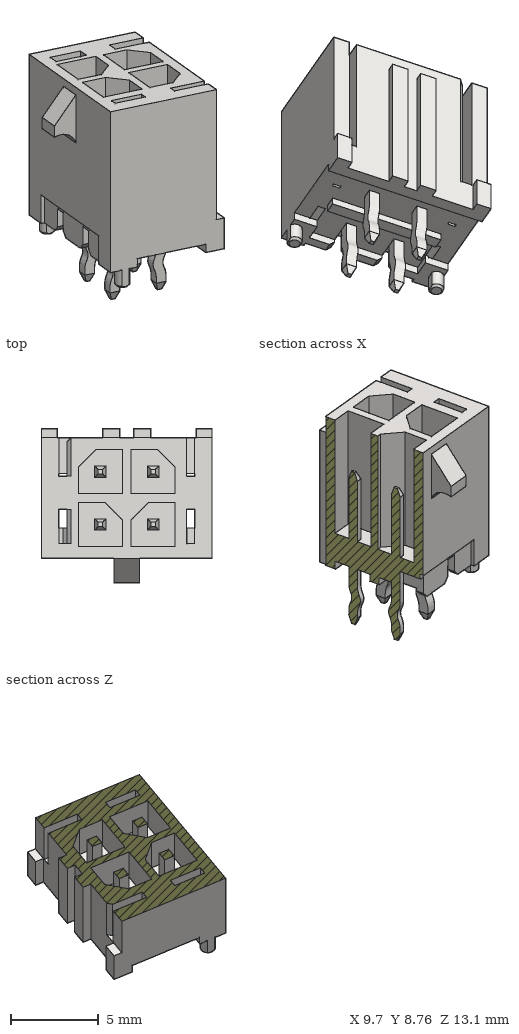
import cadquery as cq
import math


TOTAL_Z = 13.1
BODY_X = 9.7
BODY_Y = 6.86
BODY_Z = 9.9
FRONT_Y = -BODY_Y / 2
BACK_Y = BODY_Y / 2

BACK_PROJECTION = 0.51
CORNER_WIDTH = 0.9
CORNER_HEIGHT = 1.9
RIB_WIDTH = 0.98
RIB_INNER_X = 0.39
RIB_TOP_Z = 8.76

FOOT_HEIGHT = 0.51
BACK_FOOT_Y = 2.74
FRONT_FOOT_Y = -1.7
FRONT_WALL_Y = -2.71
CROSSBAR_Y = 0.67
CROSSBAR_CLEARANCE = 0.05

RECESS_X = 6.84
RECESS_HEIGHT = 1.75
RECESS_DEPTH = 0.21

PITCH = 3.0
PIN_SIZE = 0.64
PIN_TIP_SIZE = 0.25
PIN_TIP_LENGTH = 0.51
PIN_TAIL = TOTAL_Z - BODY_Z
PIN_TOP_SETBACK = 3.0
PIN_TOP_Z = BODY_Z - PIN_TOP_SETBACK
PIN_ROOT_Z = 1.44
BEND_START = 0.59
BEND_ANGLE = 24.0
OUTER_BEND = 0.54
BEND_STRAIGHT = 0.08
INNER_BEND = 0.55
PIN_SLOT_MOUTH = 1.28
PIN_SLOT_CHAMFER = 0.34

CAVITY_SIZE = 2.5
CAVITY_CHAMFER = 1.0
CAVITY_FLOOR_Z = 2.4

KEY_INNER_X = 3.4
KEY_WIDTH = 0.46
KEY_FRONT_Y = -2.6
KEY_FRONT_LENGTH = 1.95
KEY_BACK_Y = 1.25
KEY_DRAIN = 0.15
KEY_CHAMFER = 0.25

LATCH_WIDTH = 1.45
LATCH_REACH = 1.39
LATCH_TOP_Z = 9.43
LATCH_NOSE_TOP_Z = 7.8
LATCH_NOSE_BOTTOM_Z = 7.1
LATCH_ARC_REACH = 0.95
LATCH_ARC_Z = 7.18
LATCH_BOTTOM_Z = 6.48

PEG_DIAMETER = 0.88
PEG_FLATS = 0.75
PEG_Y = -2.46
PEG_LENGTH = 1.11
PEG_CHAMFER = 0.13


def block(x0, x1, y0, y1, z0, z1):
    """Box between two opposite corners."""
    return cq.Workplane("XY").box(x1 - x0, y1 - y0, z1 - z0, centered=False).translate((x0, y0, z0))


def prism_along_y(points, y0, y1):
    """Extrude an XZ outline from y0 to y1."""
    return cq.Workplane("XZ", origin=(0, y0, 0)).polyline(points).close().extrude(y0 - y1)


def housing_shell():
    """Plain housing with the back blocks and ribs."""
    shell = block(-BODY_X / 2, BODY_X / 2, FRONT_Y, BACK_Y, 0, BODY_Z)
    back_end = BACK_Y + BACK_PROJECTION
    corner = block(BODY_X / 2 - CORNER_WIDTH, BODY_X / 2, BACK_FOOT_Y, back_end, 0, CORNER_HEIGHT)
    rib = block(RIB_INNER_X, RIB_INNER_X + RIB_WIDTH, BACK_FOOT_Y, back_end, 0, RIB_TOP_Z)
    for feature in (corner, rib):
        shell = shell.union(feature).union(feature.mirror("YZ"))
    return shell


def underside_cut():
    """Clearance that leaves a back foot, front corner feet and a thin front wall."""
    across = block(-BODY_X / 2, BODY_X / 2, FRONT_FOOT_Y, BACK_FOOT_Y, 0, FOOT_HEIGHT)
    behind_wall = block(-RECESS_X / 2, RECESS_X / 2, FRONT_WALL_Y, FRONT_FOOT_Y, 0, FOOT_HEIGHT)
    return across.union(behind_wall)


def crossbar():
    """Bar across the underside, between the two rows of contacts."""
    return block(
        -RECESS_X / 2, RECESS_X / 2, -CROSSBAR_Y / 2, CROSSBAR_Y / 2, CROSSBAR_CLEARANCE, FOOT_HEIGHT
    )


def front_recess():
    """Shallow pocket around the front contact slots, open at the bottom."""
    return block(-RECESS_X / 2, RECESS_X / 2, FRONT_Y, FRONT_Y + RECESS_DEPTH, 0, RECESS_HEIGHT)


def pin_slot(x):
    """Slot with a flared mouth, from the front wall back to a front-row contact."""
    half = PIN_SIZE / 2
    mouth = PIN_SLOT_MOUTH / 2
    outline = [
        (x - mouth, 0),
        (x - half, PIN_SLOT_CHAMFER),
        (x - half, PIN_ROOT_Z),
        (x + half, PIN_ROOT_Z),
        (x + half, PIN_SLOT_CHAMFER),
        (x + mouth, 0),
    ]
    return prism_along_y(outline, FRONT_Y, -PITCH / 2 - half)


def cavity(x_side, y_side):
    """Square contact cavity; one corner on its +Y side is cut off at 45 degrees."""
    cut_off_side = ">X" if x_side * y_side > 0 else "<X"
    pocket = (
        cq.Workplane("XY")
        .rect(CAVITY_SIZE, CAVITY_SIZE)
        .extrude(BODY_Z - CAVITY_FLOOR_Z)
        .faces(cut_off_side)
        .edges("|Z and >Y")
        .chamfer(CAVITY_CHAMFER)
    )
    return pocket.translate((x_side * PITCH / 2, y_side * PITCH / 2, CAVITY_FLOOR_Z))


def key_slots():
    """Front and back slot on the +X side; the back one has a small through hole at its inner end."""
    x0 = KEY_INNER_X
    x1 = KEY_INNER_X + KEY_WIDTH
    front = block(x0, x1, KEY_FRONT_Y, KEY_FRONT_Y + KEY_FRONT_LENGTH, FOOT_HEIGHT, BODY_Z)
    back = block(x0, x1, KEY_BACK_Y, BACK_Y, CORNER_HEIGHT, BODY_Z)
    drain = block(x0, x1, KEY_BACK_Y, KEY_BACK_Y + KEY_DRAIN, FOOT_HEIGHT, CORNER_HEIGHT)
    return front.union(back).union(drain)


def key_lead_ins():
    """Chamfers on the inner edges of the -X key slots and on the open end of the back one."""
    edge = [
        (-KEY_INNER_X, BODY_Z - KEY_CHAMFER),
        (-KEY_INNER_X, BODY_Z),
        (KEY_CHAMFER - KEY_INNER_X, BODY_Z),
    ]
    front = prism_along_y(edge, KEY_FRONT_Y, KEY_FRONT_Y + KEY_FRONT_LENGTH)
    back = prism_along_y(edge, KEY_BACK_Y, BACK_Y)
    open_end = (
        cq.Workplane("XY", origin=(-KEY_INNER_X, BACK_Y, CORNER_HEIGHT))
        .polyline([(0, 0), (KEY_CHAMFER, 0), (0, -KEY_CHAMFER)])
        .close()
        .extrude(BODY_Z - CORNER_HEIGHT)
    )
    return front.union(back).union(open_end)


def key_ramp():
    """Small 45 degree ramp on the foot at the bottom of the front -X key slot."""
    size = KEY_WIDTH / 2
    outline = [
        (-KEY_INNER_X, FOOT_HEIGHT),
        (-KEY_INNER_X, FOOT_HEIGHT + size),
        (-KEY_INNER_X - size, FOOT_HEIGHT),
    ]
    return prism_along_y(outline, KEY_FRONT_Y, FRONT_FOOT_Y)


def latch():
    """Ramp with a blunt nose and a hollow underside."""
    nose_y = FRONT_Y - LATCH_REACH
    return (
        cq.Workplane("YZ")
        .moveTo(FRONT_Y, LATCH_BOTTOM_Z)
        .threePointArc((FRONT_Y - LATCH_ARC_REACH, LATCH_ARC_Z), (nose_y, LATCH_NOSE_BOTTOM_Z))
        .lineTo(nose_y, LATCH_NOSE_TOP_Z)
        .lineTo(FRONT_Y, LATCH_TOP_Z)
        .close()
        .extrude(LATCH_WIDTH / 2, both=True)
    )


def peg(x_side):
    """Round locating peg with two flats, the outer one flush with the housing end."""
    post = (
        cq.Workplane("XY")
        .circle(PEG_DIAMETER / 2)
        .extrude(-PEG_LENGTH)
        .faces("<Z")
        .chamfer(PEG_CHAMFER)
        .intersect(cq.Workplane("XY").box(PEG_FLATS, PEG_DIAMETER, 2 * PEG_LENGTH))
    )
    return post.translate((x_side * (BODY_X - PEG_FLATS) / 2, PEG_Y, 0))


def pin_tip():
    """Blunt pyramid pointing up from z = 0."""
    taper = math.degrees(math.atan2(PIN_SIZE - PIN_TIP_SIZE, 2 * PIN_TIP_LENGTH))
    return cq.Workplane("XY").rect(PIN_SIZE, PIN_SIZE).extrude(PIN_TIP_LENGTH, taper=taper)


def pin(x_side, y_side):
    """Contact with a kinked tail; the kink points to the middle of the housing."""
    outer_shift = OUTER_BEND * math.tan(math.radians(BEND_ANGLE / 2))
    straight_shift = BEND_STRAIGHT * math.tan(math.radians(BEND_ANGLE))
    half = PIN_SIZE / 2
    bottom_z = -PIN_TAIL + PIN_TIP_LENGTH
    top_z = PIN_TOP_Z - PIN_TIP_LENGTH
    bend_end = BEND_START + 2 * (OUTER_BEND + BEND_STRAIGHT) + INNER_BEND
    stem = (
        cq.Workplane("YZ")
        .moveTo(-half, top_z)
        .lineTo(-half, -BEND_START)
        .tangentArcPoint((-outer_shift, -OUTER_BEND))
        .line(-straight_shift, -BEND_STRAIGHT)
        .tangentArcPoint((0, -INNER_BEND))
        .line(straight_shift, -BEND_STRAIGHT)
        .tangentArcPoint((outer_shift, -OUTER_BEND))
        .lineTo(-half, bottom_z)
        .lineTo(half, bottom_z)
        .lineTo(half, -bend_end)
        .tangentArcPoint((-outer_shift, OUTER_BEND))
        .line(-straight_shift, BEND_STRAIGHT)
        .tangentArcPoint((0, INNER_BEND))
        .line(straight_shift, BEND_STRAIGHT)
        .tangentArcPoint((outer_shift, OUTER_BEND))
        .lineTo(half, top_z)
        .close()
        .extrude(half, both=True)
    )
    upper_tip = pin_tip().translate((0, 0, top_z))
    lower_tip = pin_tip().mirror("XY").translate((0, 0, bottom_z))
    contact = stem.union(upper_tip).union(lower_tip)
    if y_side < 0:
        contact = contact.mirror("XZ")
    return contact.translate((x_side * PITCH / 2, y_side * PITCH / 2, 0))


result = housing_shell().cut(underside_cut()).cut(front_recess()).union(crossbar())

right_slots = key_slots()
result = result.cut(right_slots).cut(right_slots.mirror("YZ"))
result = result.cut(key_lead_ins()).union(key_ramp()).union(latch())

for x_side in (-1, 1):
    result = result.cut(pin_slot(x_side * PITCH / 2)).union(peg(x_side))
    for y_side in (-1, 1):
        result = result.cut(cavity(x_side, y_side)).union(pin(x_side, y_side))